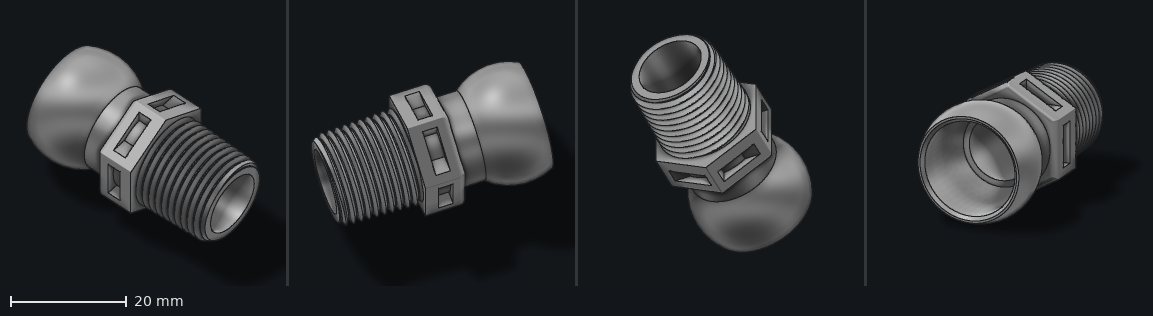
import cadquery as cq
import math

TOTAL_LENGTH = 38.3
BALL_RADIUS = 10.75
BALL_CENTER_X = 4.75
NECK_RADIUS = 8.15

HEX_START_X = 15.78
HEX_END_X = 23.32
HEX_ACROSS_FLATS = 19.0
HEX_CORNER_RADIUS = 0.25
HEX_FRONT_FILLET = 1.15

WINDOW_START_X = 18.25
WINDOW_LENGTH = 2.65
SIDE_WINDOW_HEIGHT = 7.7
CORNER_WINDOW_MIN_Y = 1.2
CORNER_WINDOW_MIN_Z = 6.32

SOCKET_RADIUS = 8.6
SOCKET_MOUTH_RADIUS = 9.23
SOCKET_MOUTH_DEPTH = 0.65
SOCKET_STRAIGHT_END_X = 7.77
LEDGE_OUTER_RADIUS = 7.0
BORE_RADIUS = 5.85

TEN_TURN_LENGTH = 14.1
THREAD_PITCH = TEN_TURN_LENGTH / 10
THREAD_TAPER = 1 / 32
THREAD_ROOT_END_RADIUS = 7.35
THREAD_DEPTH = 0.92
THREAD_ROOT_GAP = 0.23
THREAD_OVERLAP = 0.1
THREAD_FIRST_CREST_X = 39.0
THREAD_BURIED_X = 22.6
LEAD_IN_LENGTH = 2.3
LEAD_IN_SLOPE = 0.75


def root_radius(x):
    """Radius of the tapered thread core at position x."""
    return THREAD_ROOT_END_RADIUS + (TOTAL_LENGTH - x) * THREAD_TAPER


def cylinder(start_x, length, radius):
    return cq.Workplane("YZ").workplane(offset=start_x).circle(radius).extrude(length)


def revolve_about_x(profile):
    return profile.close().revolve(360, (0, 0, 0), (1, 0, 0))


def make_ball_and_neck():
    ball_end_x = BALL_CENTER_X + math.sqrt(BALL_RADIUS**2 - NECK_RADIUS**2)
    rim_radius = math.sqrt(BALL_RADIUS**2 - BALL_CENTER_X**2)
    return revolve_about_x(
        cq.Workplane("XY")
        .lineTo(0, rim_radius)
        .threePointArc((BALL_CENTER_X, BALL_RADIUS), (ball_end_x, NECK_RADIUS))
        .lineTo(HEX_END_X, NECK_RADIUS)
        .lineTo(HEX_END_X, 0)
    )


def make_hexagon():
    corner_diameter = HEX_ACROSS_FLATS / math.cos(math.pi / 6)
    body = (
        cq.Workplane("YZ")
        .workplane(offset=HEX_START_X)
        .transformed(rotate=(0, 0, 90))
        .polygon(6, corner_diameter)
        .extrude(HEX_END_X - HEX_START_X)
        .edges("|X")
        .fillet(HEX_CORNER_RADIUS)
    )
    return body.faces("<X").edges().fillet(HEX_FRONT_FILLET)


def make_windows():
    """Pockets in all six flats, reaching inward to the neck cylinder."""
    mid_x = WINDOW_START_X + WINDOW_LENGTH / 2
    reach = HEX_ACROSS_FLATS
    windows = cq.Workplane("XY").box(WINDOW_LENGTH, 2 * reach, SIDE_WINDOW_HEIGHT)
    for side_y in (-1, 1):
        for side_z in (-1, 1):
            corner = cq.Workplane("XY").box(WINDOW_LENGTH, reach, reach).translate(
                (
                    0,
                    side_y * (CORNER_WINDOW_MIN_Y + reach / 2),
                    side_z * (CORNER_WINDOW_MIN_Z + reach / 2),
                )
            )
            windows = windows.union(corner)
    windows = windows.translate((mid_x, 0, 0))
    return windows.cut(cylinder(WINDOW_START_X, WINDOW_LENGTH, NECK_RADIUS))


def make_thread_core():
    return revolve_about_x(
        cq.Workplane("XY")
        .moveTo(THREAD_BURIED_X, 0)
        .lineTo(THREAD_BURIED_X, root_radius(THREAD_BURIED_X))
        .lineTo(TOTAL_LENGTH, THREAD_ROOT_END_RADIUS)
        .lineTo(TOTAL_LENGTH, 0)
    )


def make_thread_ridge():
    """Right-hand V ridge on a cone, built along Z and then laid along -X."""
    start_radius = root_radius(THREAD_FIRST_CREST_X)
    height = THREAD_FIRST_CREST_X - THREAD_BURIED_X
    taper_angle = math.degrees(math.atan(THREAD_TAPER))
    helix = cq.Wire.makeHelix(THREAD_PITCH, height, start_radius, angle=taper_angle)
    half_width = (THREAD_PITCH - THREAD_ROOT_GAP) / 2
    base_radius = start_radius - THREAD_OVERLAP
    ridge = (
        cq.Workplane("XZ")
        .moveTo(base_radius, -half_width)
        .lineTo(start_radius, -half_width)
        .lineTo(start_radius + THREAD_DEPTH, 0)
        .lineTo(start_radius, half_width)
        .lineTo(base_radius, half_width)
        .close()
        .sweep(cq.Workplane(obj=helix), isFrenet=True)
    )
    ridge = ridge.rotate((0, 0, 0), (0, 1, 0), -90)
    return ridge.translate((THREAD_FIRST_CREST_X, 0, 0))


def make_lead_in_cutter():
    """Trims the ridge at the +X end face and bevels the crests before it."""
    cutter_end_x = THREAD_FIRST_CREST_X + THREAD_PITCH
    lead_in_start_x = TOTAL_LENGTH - LEAD_IN_LENGTH
    lead_in_radius = THREAD_ROOT_END_RADIUS + LEAD_IN_LENGTH * LEAD_IN_SLOPE
    return revolve_about_x(
        cq.Workplane("XY")
        .moveTo(TOTAL_LENGTH, 0)
        .lineTo(TOTAL_LENGTH, THREAD_ROOT_END_RADIUS)
        .lineTo(lead_in_start_x, lead_in_radius)
        .lineTo(cutter_end_x, lead_in_radius)
        .lineTo(cutter_end_x, 0)
    )


def make_bore():
    """Chamfered straight socket, spherical bottom, flat ledge and through bore."""

    def sphere_x(radius):
        return SOCKET_STRAIGHT_END_X + math.sqrt(SOCKET_RADIUS**2 - radius**2)

    ledge_x = sphere_x(LEDGE_OUTER_RADIUS)
    arc_mid_radius = (SOCKET_RADIUS + LEDGE_OUTER_RADIUS) / 2
    return revolve_about_x(
        cq.Workplane("XY")
        .lineTo(0, SOCKET_MOUTH_RADIUS)
        .lineTo(SOCKET_MOUTH_DEPTH, SOCKET_RADIUS)
        .lineTo(SOCKET_STRAIGHT_END_X, SOCKET_RADIUS)
        .threePointArc((sphere_x(arc_mid_radius), arc_mid_radius), (ledge_x, LEDGE_OUTER_RADIUS))
        .lineTo(ledge_x, BORE_RADIUS)
        .lineTo(TOTAL_LENGTH, BORE_RADIUS)
        .lineTo(TOTAL_LENGTH, 0)
    )


thread = make_thread_core().union(make_thread_ridge().cut(make_lead_in_cutter()))
hexagon = make_hexagon().cut(make_windows())
result = make_ball_and_neck().union(hexagon).union(thread).cut(make_bore())